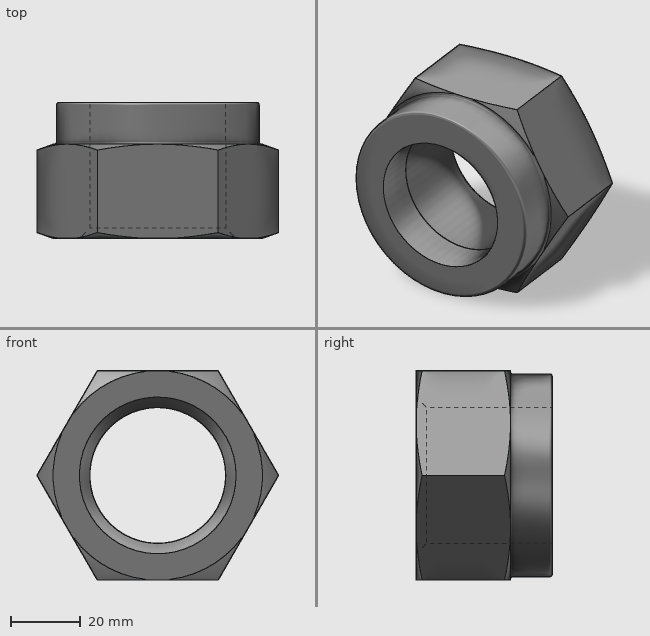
import cadquery as cq
import math

ACROSS_CORNERS = 69.3
ACROSS_FLATS = ACROSS_CORNERS * math.cos(math.radians(30))
HEX_LENGTH = 27.0
CORNER_CHAMFER_ANGLE = 20.0

TOTAL_LENGTH = 39.0
COLLAR_DIAMETER = 58.2
COLLAR_EDGE_RADIUS = 0.8
COLLAR_ROOT_RADIUS = 0.6

BORE_DIAMETER = 39.0
REAR_BORE_DIAMETER = 38.9
BORE_STEP_Y = HEX_LENGTH
MOUTH_DIAMETER = 44.9
MOUTH_DEPTH = (MOUTH_DIAMETER - BORE_DIAMETER) / 2


def revolve_about_y(profile):
    return profile.close().revolve(360, (0, 0, 0), (0, 1, 0))


def make_hexagon():
    """Hexagonal prism with both ends turned down to the flats by a cone."""
    prism = (
        cq.Workplane("XZ")
        .polygon(6, ACROSS_CORNERS)
        .extrude(-HEX_LENGTH)
    )
    end_radius = ACROSS_FLATS / 2
    outer_radius = ACROSS_CORNERS
    cone_depth = (outer_radius - end_radius) * math.tan(math.radians(CORNER_CHAMFER_ANGLE))
    front_cone = revolve_about_y(
        cq.Workplane("XY")
        .lineTo(end_radius, 0)
        .lineTo(outer_radius, cone_depth)
        .lineTo(outer_radius, HEX_LENGTH)
        .lineTo(0, HEX_LENGTH)
    )
    back_cone = front_cone.mirror("XZ").translate((0, HEX_LENGTH, 0))
    return prism.intersect(front_cone).intersect(back_cone)


def make_collar():
    """Round collar with a rounded rear edge and a small fillet at its root."""
    radius = COLLAR_DIAMETER / 2
    edge = COLLAR_EDGE_RADIUS
    root = COLLAR_ROOT_RADIUS
    return revolve_about_y(
        cq.Workplane("XY")
        .lineTo(radius + root, 0)
        .lineTo(radius + root, HEX_LENGTH)
        .radiusArc((radius, HEX_LENGTH + root), root)
        .lineTo(radius, TOTAL_LENGTH - edge)
        .radiusArc((radius - edge, TOTAL_LENGTH), -edge)
        .lineTo(0, TOTAL_LENGTH)
    )


def make_bore():
    return revolve_about_y(
        cq.Workplane("XY")
        .lineTo(MOUTH_DIAMETER / 2, 0)
        .lineTo(BORE_DIAMETER / 2, MOUTH_DEPTH)
        .lineTo(BORE_DIAMETER / 2, BORE_STEP_Y)
        .lineTo(REAR_BORE_DIAMETER / 2, BORE_STEP_Y)
        .lineTo(REAR_BORE_DIAMETER / 2, TOTAL_LENGTH)
        .lineTo(0, TOTAL_LENGTH)
    )


result = make_hexagon().union(make_collar()).cut(make_bore())